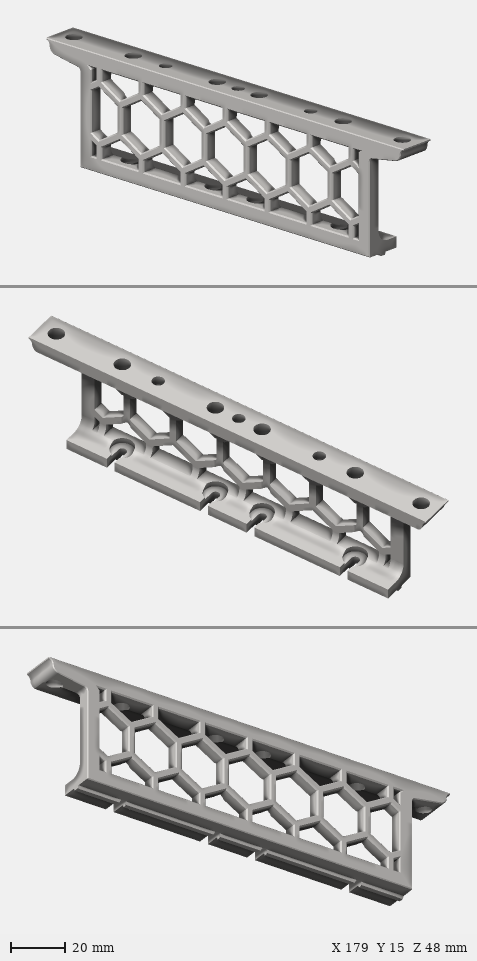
import cadquery as cq
import math

LENGTH = 179.0
DEPTH = 15.0
HEIGHT = 48.0

WEB_THICKNESS = 5.0
TOP_FLANGE_THICKNESS = 5.5
BOTTOM_FLANGE_THICKNESS = 4.4
INNER_FILLET = 5.0
RIB_HEIGHT = 1.1
RIB_TOP_WIDTH = 3.0
RIB_BOTTOM_WIDTH = 2.0
HOLE_LINE_Y = DEPTH / 2

BODY_WIDTH = 145.0
LIP_THICKNESS = 0.6
NECK_X = LENGTH / 2 - 1.6
NECK_Z = 45.2
NOSE_X = NECK_X - 2.5
NOSE_Z = 42.3
WING_ROOT_Z = 40.1
WING_ROOT_FILLET = 1.5

WINDOW_WIDTH = 133.4
WINDOW_BOTTOM_Z = 6.9
WINDOW_TOP_Z = 41.9
CORNER_FLARE = 0.9
HEX_FLATS = 18.0
HEX_GAP = 3.0
HEX_PITCH = HEX_FLATS + HEX_GAP
ROW_PITCH = HEX_PITCH * math.sqrt(3) / 2
CELLS_EACH_SIDE = 4
CELL_CHAMFER = 0.5
OUTER_CHAMFER = 0.35

END_HOLE_X = 82.2
CLEARANCE_DIAMETER = 6.5
SCREW_SLOT_WIDTH = 3.5
SCREW_SEAT_DIAMETER = 9.5
SCREW_SEAT_DEPTH = 1.0
SCREW_SEAT_Z = RIB_HEIGHT + BOTTOM_FLANGE_THICKNESS - SCREW_SEAT_DEPTH
SCREW_X = (-2.5 * HEX_PITCH, -0.5 * HEX_PITCH, 0.5 * HEX_PITCH, 2.5 * HEX_PITCH)
SMALL_HOLE_DIAMETER = 5.0
SMALL_HOLE_DEPTH = 4.0
SMALL_HOLE_X = (-36.3, 0.0, 36.3)


def box(x_size, y_min, y_max, z_min, z_max):
    """Box centred on X between the given Y and Z limits."""
    return cq.Workplane("XY").box(x_size, y_max - y_min, z_max - z_min, centered=(True, False, False)).translate(
        (0, y_min, z_min)
    )


def front_outline_body():
    """Body and wings, extruded over the full depth."""
    half_length = LENGTH / 2
    half_body = BODY_WIDTH / 2
    lip_z = HEIGHT - LIP_THICKNESS
    half = (
        cq.Workplane("XZ")
        .moveTo(0, RIB_HEIGHT)
        .lineTo(half_body, RIB_HEIGHT)
        .lineTo(half_body, WING_ROOT_Z)
        .lineTo(NOSE_X, NOSE_Z)
        .tangentArcPoint((NECK_X, NECK_Z), relative=False)
        .tangentArcPoint((half_length, lip_z), relative=False)
        .lineTo(half_length, HEIGHT)
        .lineTo(0, HEIGHT)
        .close()
        .extrude(-DEPTH)
    )
    root = cq.selectors.NearestToPointSelector((half_body, HOLE_LINE_Y, WING_ROOT_Z))
    half = half.edges("|Y").edges(root).fillet(WING_ROOT_FILLET)
    return half.union(half.mirror("YZ"))


def rear_channel():
    """Rounded channel behind the web that leaves the two flanges."""
    channel = box(
        LENGTH,
        WEB_THICKNESS,
        2 * DEPTH,
        RIB_HEIGHT + BOTTOM_FLANGE_THICKNESS,
        HEIGHT - TOP_FLANGE_THICKNESS,
    )
    return channel.edges("|X and <Y").fillet(INNER_FILLET)


def rib():
    """Trapezoidal locating rib under the bottom flange."""
    half_top = RIB_TOP_WIDTH / 2
    half_bottom = RIB_BOTTOM_WIDTH / 2
    return (
        cq.Workplane("YZ")
        .polyline(
            [
                (HOLE_LINE_Y - half_top, RIB_HEIGHT),
                (HOLE_LINE_Y - half_bottom, 0),
                (HOLE_LINE_Y + half_bottom, 0),
                (HOLE_LINE_Y + half_top, RIB_HEIGHT),
            ]
        )
        .close()
        .extrude(BODY_WIDTH / 2, both=True)
    )


def honeycomb():
    """Hexagonal cells trimmed by the rectangular window, flared at its two top corners."""
    center_z = (WINDOW_BOTTOM_Z + WINDOW_TOP_Z) / 2
    whole = range(-CELLS_EACH_SIDE, CELLS_EACH_SIDE + 1)
    points = [(i * HEX_PITCH, center_z) for i in whole]
    for side in (-1, 1):
        points += [((i + 0.5) * HEX_PITCH, center_z + side * ROW_PITCH) for i in whole]
    corner_diameter = HEX_FLATS * 2 / math.sqrt(3)
    hexagon = (
        cq.Workplane("XZ")
        .polygon(6, corner_diameter)
        .extrude(-DEPTH)
        .rotate((0, 0, 0), (0, 1, 0), 30)
    )
    cells = cq.Workplane("XY")
    for x, z in points:
        cells = cells.add(hexagon.translate((x, 0, z)))
    cells = cells.combine()
    cells = cells.intersect(box(WINDOW_WIDTH, 0, DEPTH, WINDOW_BOTTOM_Z, WINDOW_TOP_Z))
    half_window = WINDOW_WIDTH / 2
    flare = (
        cq.Workplane("XZ")
        .moveTo(half_window - CORNER_FLARE, WINDOW_TOP_Z)
        .lineTo(half_window + CORNER_FLARE, WINDOW_TOP_Z)
        .lineTo(half_window, WINDOW_TOP_Z - CORNER_FLARE)
        .lineTo(half_window - CORNER_FLARE, WINDOW_TOP_Z - CORNER_FLARE)
        .close()
        .extrude(-DEPTH)
    )
    return cells.union(flare).union(flare.mirror("YZ"))


def vertical_holes(x_places, diameter, z_min, z_max=HEIGHT):
    """Round holes on the hole line between two levels, by default up through the top face."""
    return (
        cq.Workplane("XY", origin=(0, HOLE_LINE_Y, z_min))
        .pushPoints([(x, 0) for x in x_places])
        .circle(diameter / 2)
        .extrude(z_max - z_min)
    )


def screw_slots():
    """Slots through the bottom flange, round at the front and open at the rear."""
    top_z = RIB_HEIGHT + BOTTOM_FLANGE_THICKNESS
    slots = vertical_holes(SCREW_X, SCREW_SLOT_WIDTH, 0)
    for x in SCREW_X:
        slots = slots.union(box(SCREW_SLOT_WIDTH, HOLE_LINE_Y, DEPTH, 0, top_z).translate((x, 0, 0)))
    return slots


part = front_outline_body().cut(rear_channel()).union(rib())
part = part.cut(honeycomb())
front_face = part.faces("<Y").val()
rims = [e for wire in front_face.innerWires() for e in wire.Edges()]
part = part.newObject(rims).chamfer(CELL_CHAMFER)
outer_rim = part.faces("<Y").val().outerWire().Edges()
part = part.newObject(outer_rim).chamfer(OUTER_CHAMFER)
part = part.cut(vertical_holes((-END_HOLE_X, END_HOLE_X), CLEARANCE_DIAMETER, 0))
part = part.cut(vertical_holes(SCREW_X, CLEARANCE_DIAMETER, SCREW_SEAT_Z))
part = part.cut(vertical_holes(SCREW_X, SCREW_SEAT_DIAMETER, SCREW_SEAT_Z, WINDOW_BOTTOM_Z))
part = part.cut(screw_slots())
part = part.cut(vertical_holes(SMALL_HOLE_X, SMALL_HOLE_DIAMETER, HEIGHT - SMALL_HOLE_DEPTH))
result = part